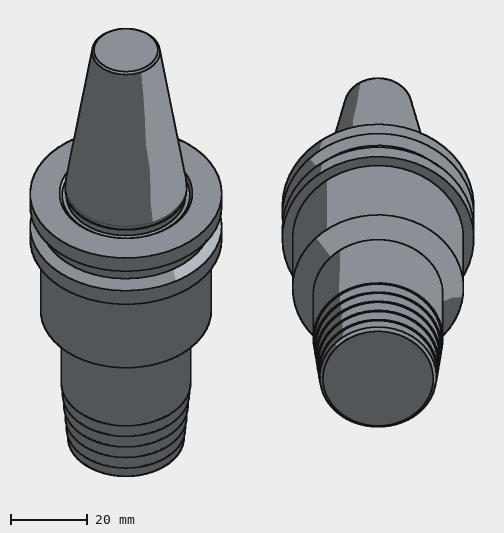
import cadquery as cq

total_height = 137.8
gauge_height = 90.0
neck_top = 88.6
flange_top = 87.1
flange_bottom = 70.7
body_bottom = 45.7
nose_top = 42.2
nose_steps_top = 20.3

taper_ratio = 7 / 24
gauge_radius = 15.8
neck_radius = 15.6
flange_diameter = 50.0
flange_radius = flange_diameter / 2
body_radius = 22.3
nose_radius = 17.0

nose_step_count = 5
nose_step_depth = 0.35
nose_step_height = nose_steps_top / nose_step_count
nose_tip_radius = nose_radius - nose_step_count * nose_step_depth

groove_floor_top = 80.9
groove_floor_bottom = 77.3
groove_mouth_top = 82.4
groove_mouth_bottom = 75.5

relief_radius = 17.4
relief_floor_radius = 16.7
relief_depth = 0.7

tip_chamfer = 0.5
nose_chamfer = 0.8

taper_tip_radius = gauge_radius - (total_height - gauge_height) * taper_ratio / 2


def nose_step_points():
    """Corners of the ledges between the nose steps, from the tip upwards."""
    points = []
    for step in range(1, nose_step_count + 1):
        ledge_height = step * nose_step_height
        outer_radius = nose_tip_radius + step * nose_step_depth
        points.append((outer_radius - nose_step_depth, ledge_height))
        points.append((outer_radius, ledge_height))
    return points


profile = [
    (0, 0),
    (nose_tip_radius - nose_chamfer, 0),
    (nose_tip_radius, nose_chamfer),
    *nose_step_points(),
    (nose_radius, nose_top),
    (body_radius, body_bottom),
    (body_radius, flange_bottom),
    (flange_radius, flange_bottom),
    (flange_radius, groove_mouth_bottom),
    (body_radius, groove_floor_bottom),
    (body_radius, groove_floor_top),
    (flange_radius, groove_mouth_top),
    (flange_radius, flange_top),
    (relief_radius, flange_top),
    (relief_floor_radius, flange_top - relief_depth),
    (neck_radius, flange_top - relief_depth),
    (neck_radius, neck_top),
    (gauge_radius, neck_top),
    (gauge_radius, gauge_height),
    (taper_tip_radius, total_height - tip_chamfer),
    (taper_tip_radius - tip_chamfer, total_height),
    (0, total_height),
]
result = cq.Workplane("XZ").polyline(profile).close().revolve(360, (0, 0), (0, 1))